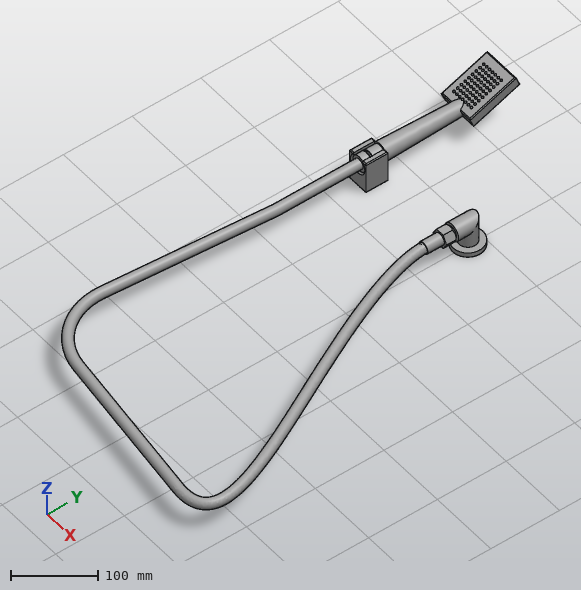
import cadquery as cq
import math

axis_height = 34.0

bracket_width = 31.0
bracket_length = 32.5
bracket_height = 46.0
bracket_chamfer = 1.5
slot_width = 17.0
bore_chamfer = 2.0

handle_back = 155.0
handle_back_diameter = 20.5
handle_front_diameter = 27.0
plug_radius = 11.0
plug_front = 2.0
groove_center = 15.0
groove_width = 3.0
groove_depth = 1.5

head_width = 54.0
head_length = 72.5
head_thickness = 15.5
head_tilt = 22
head_low_y = 148.0
head_low_z = 25.0
head_rim_chamfer = 1.5

nozzle_columns = 7
nozzle_rows = 9
nozzle_pitch_x = 5.4
nozzle_pitch_y = 5.85
nozzle_radius = 1.55
nozzle_height = 1.0
nozzle_field_center = 35.0

outlet_x = 152.0
outlet_y = 42.0
flange_radius = 22.0
flange_thickness = 7.0
elbow_radius = 13.0
elbow_front = 19.0

nut_front = 1.5
nut_bevel = 4.0
ferrule_front = -22.5
ferrule_radius = 8.5

hose_diameter = 15.0
kink_y = -119.0
bend_corner = (-24.5, -440.5)
bend_radius = 88.0
loop_start = (281.0, -480.5)
loop_start_reach = 113.0
loop_side_pull = (312.5, -359.0)
rise_pull = (187.0, -186.0)
ferrule_reach = 43.0


def rod(x, back_y, front_y, back_radius, front_radius):
    """Round bar or cone along Y at the common axis height."""
    profile = [(x, back_y), (x + back_radius, back_y), (x + front_radius, front_y), (x, front_y)]
    return (
        cq.Workplane("XY", origin=(0, 0, axis_height))
        .polyline(profile)
        .close()
        .revolve(360, (x, 0), (x, 1))
    )


def make_bracket():
    """Block with a chamfered bore for the plug and a slot that lets the hose in from above."""
    block = cq.Workplane("XY").box(
        bracket_width, bracket_length, bracket_height, centered=(True, False, False)
    )
    block = block.faces(">Z").chamfer(bracket_chamfer)
    slot = cq.Workplane("XY", origin=(0, 0, axis_height)).box(
        slot_width, bracket_length, bracket_height, centered=(True, False, False)
    )
    mouth_radius = plug_radius + bore_chamfer
    bore = rod(0, bracket_length, 0, plug_radius, plug_radius)
    back_mouth = rod(0, bracket_length, bracket_length - bore_chamfer, mouth_radius, plug_radius)
    front_mouth = rod(0, bore_chamfer, 0, plug_radius, mouth_radius)
    return block.cut(slot).cut(bore).cut(back_mouth).cut(front_mouth)


def tilt_to_head(shape):
    """Move a shape from the head's own level position to its tilted place."""
    return shape.rotate((0, 0, 0), (1, 0, 0), head_tilt).translate((0, head_low_y, head_low_z))


def make_head():
    """Tilted plate with a bevelled rim and a grid of nozzles."""
    plate = (
        cq.Workplane("XY")
        .box(head_width, head_length, head_thickness, centered=(True, False, False))
        .faces(">Z")
        .chamfer(head_rim_chamfer)
    )
    nozzles = (
        cq.Workplane("XY", origin=(0, nozzle_field_center, head_thickness))
        .rarray(nozzle_pitch_x, nozzle_pitch_y, nozzle_columns, nozzle_rows)
        .circle(nozzle_radius)
        .extrude(nozzle_height)
    )
    head = plate.union(nozzles)
    return tilt_to_head(head)


def make_handle():
    """Conical grip, trimmed flush with the underside of the head, and the grooved plug in front."""
    grip = rod(0, handle_back, bracket_length, handle_back_diameter / 2, handle_front_diameter / 2)
    below_head = cq.Workplane("XY", origin=(0, 0, -head_length)).box(
        head_width, head_length, head_length, centered=(True, False, False)
    )
    grip = grip.cut(tilt_to_head(below_head))
    plug = rod(0, bracket_length, plug_front, plug_radius, plug_radius)
    groove_back = groove_center + groove_width / 2
    groove_front = groove_center - groove_width / 2
    core_radius = plug_radius - groove_depth
    groove = rod(0, groove_back, groove_front, plug_radius, plug_radius).cut(
        rod(0, groove_back, groove_front, core_radius, core_radius)
    )
    return grip.union(plug.cut(groove))


def make_hose():
    """Round hose swept flat along the wall from the plug to the ferrule."""
    kink = cq.Vector(0, kink_y)
    corner = cq.Vector(*bend_corner)
    loop = cq.Vector(*loop_start)
    to_kink = (kink - corner).normalized()
    to_loop = (loop - corner).normalized()
    half_angle = to_kink.getAngle(to_loop) / 2
    tangent_length = bend_radius / math.tan(half_angle)
    middle_direction = (to_kink + to_loop).normalized()
    middle_length = bend_radius / math.sin(half_angle) - bend_radius
    bend_start = corner + to_kink * tangent_length
    bend_middle = corner + middle_direction * middle_length
    bend_end = corner + to_loop * tangent_length

    loop_exit = loop + to_loop * loop_start_reach
    ferrule = (outlet_x, ferrule_front)
    ferrule_exit = (outlet_x, ferrule_front - ferrule_reach)
    loop_poles = [loop_start, (loop_exit.x, loop_exit.y), loop_side_pull, rise_pull, ferrule_exit, ferrule]

    plane = cq.Workplane("XY", origin=(0, 0, axis_height))
    path = (
        plane.moveTo(0, plug_front)
        .lineTo(0, kink_y)
        .lineTo(bend_start.x, bend_start.y)
        .threePointArc((bend_middle.x, bend_middle.y), (bend_end.x, bend_end.y))
        .lineTo(*loop_start)
        .bezier(loop_poles)
    )
    profile = cq.Workplane("XZ", origin=(0, plug_front, axis_height)).circle(hose_diameter / 2)
    return profile.sweep(path, transition="right")


def make_hose_end():
    """Hexagon nut, bevelled where it meets the elbow, with a ferrule in front."""
    nut_length = elbow_front - nut_front
    hexagon = (
        cq.Workplane("XZ", origin=(outlet_x, elbow_front, axis_height))
        .polygon(6, 2 * elbow_radius)
        .extrude(nut_length)
    )
    bevel = rod(outlet_x, elbow_front, elbow_front - nut_bevel, elbow_radius - nut_bevel, elbow_radius)
    body = rod(outlet_x, elbow_front - nut_bevel, nut_front, elbow_radius, elbow_radius)
    nut = hexagon.intersect(bevel.union(body))
    ferrule = rod(outlet_x, nut_front, ferrule_front, ferrule_radius, ferrule_radius)
    return nut.union(ferrule)


def make_hand_shower():
    return make_handle().union(make_head()).union(make_hose()).union(make_hose_end())


def make_outlet():
    """Flange and post on the wall, with an elbow along Y whose back end follows the post."""
    foot = cq.Workplane("XY", origin=(outlet_x, outlet_y, 0))
    flange = foot.circle(flange_radius).extrude(flange_thickness)
    post = foot.circle(elbow_radius).extrude(axis_height)
    elbow = rod(outlet_x, outlet_y + elbow_radius, elbow_front, elbow_radius, elbow_radius)
    plan = foot.circle(elbow_radius).extrude(2 * axis_height)
    arm = rod(outlet_x, outlet_y, elbow_front, elbow_radius, elbow_radius)
    return flange.union(post).union(elbow.intersect(plan)).union(arm)


bracket = make_bracket()
hand_shower = make_hand_shower()
outlet = make_outlet()

result = cq.Compound.makeCompound([bracket.solids().val(), hand_shower.solids().val(), outlet.solids().val()])